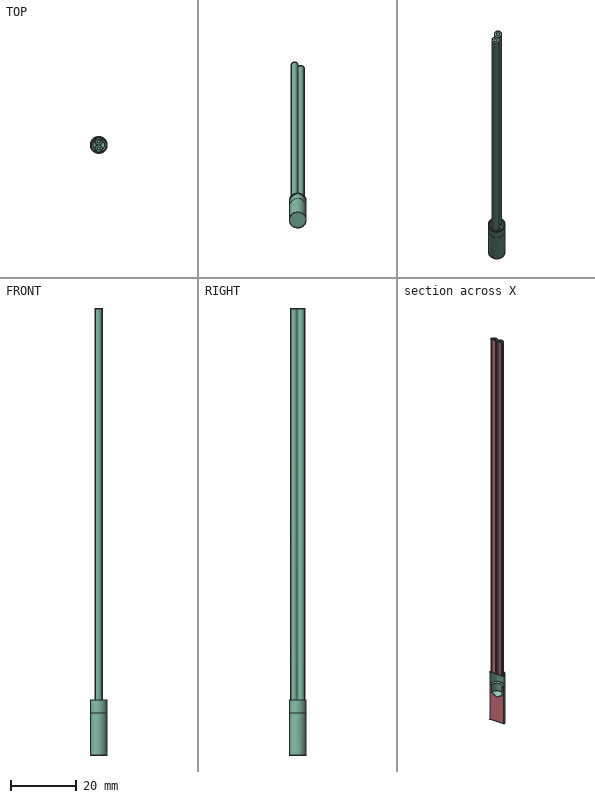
import cadquery as cq
import math

TOTAL_LENGTH = 137.02

SLEEVE_DIAMETER = 5.16
SLEEVE_LENGTH = 17.02
CUP_DIAMETER = 4.6
CUP_DEPTH = 4.0
PILOT_DIAMETER = 3.6
PILOT_DEPTH = 7.0
DRILL_POINT_ANGLE = 118.0

WIRE_DIAMETER = 2.2
WIRE_SPACING = 2.22
CONDUCTOR_DIAMETER = 1.0
WIRE_LENGTH = TOTAL_LENGTH - SLEEVE_LENGTH
WIRE_SIDES = (-1, 1)


def drilled_hole(diameter, depth):
    """Cutter for a blind hole from the sleeve mouth; depth excludes the conical drill point."""
    radius = diameter / 2
    shoulder_z = SLEEVE_LENGTH - depth
    tip_z = shoulder_z - radius / math.tan(math.radians(DRILL_POINT_ANGLE / 2))
    half_profile = [
        (0, tip_z),
        (radius, shoulder_z),
        (radius, SLEEVE_LENGTH),
        (0, SLEEVE_LENGTH),
    ]
    return cq.Workplane("XZ").polyline(half_profile).close().revolve(360, (0, 0), (0, 1))


def make_sleeve():
    """Solid round bar with the wide cup and the narrower pilot hole below it."""
    bar = cq.Workplane("XY").circle(SLEEVE_DIAMETER / 2).extrude(SLEEVE_LENGTH)
    bar = bar.cut(drilled_hole(CUP_DIAMETER, CUP_DEPTH))
    return bar.cut(drilled_hole(PILOT_DIAMETER, PILOT_DEPTH))


def wire_plane(side):
    """Workplane on the lower end of one wire, level with the sleeve mouth."""
    return cq.Workplane("XY", origin=(0, side * WIRE_SPACING / 2, SLEEVE_LENGTH))


def make_insulation(side):
    """Insulating tube of one wire."""
    section = wire_plane(side).circle(WIRE_DIAMETER / 2).circle(CONDUCTOR_DIAMETER / 2)
    return section.extrude(WIRE_LENGTH)


def make_conductor(side):
    """Round core that fills the insulating tube, flush at both ends."""
    return wire_plane(side).circle(CONDUCTOR_DIAMETER / 2).extrude(WIRE_LENGTH)


sleeve = make_sleeve()
insulations = [make_insulation(side) for side in WIRE_SIDES]
conductors = [make_conductor(side) for side in WIRE_SIDES]

result = cq.Compound.makeCompound(
    [
        sleeve.val(),
        *[insulation.val() for insulation in insulations],
        *[conductor.val() for conductor in conductors],
    ]
)